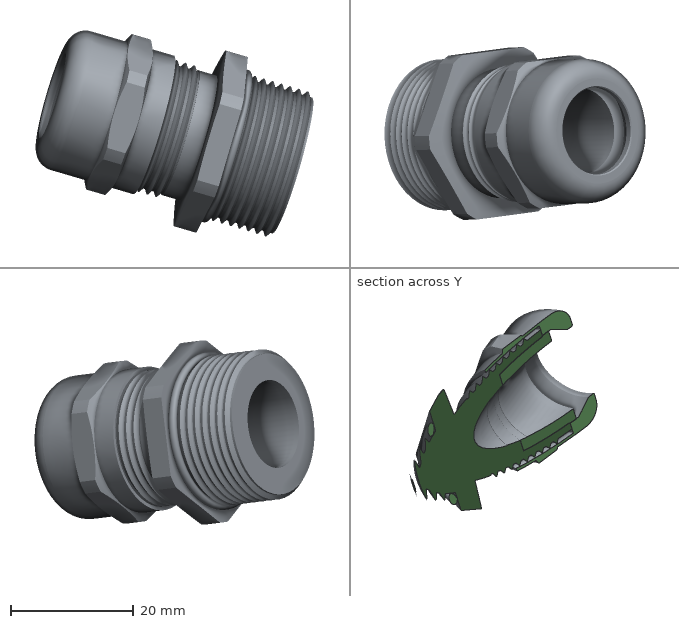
import cadquery as cq
import math


axis_azimuth = 22.0
axis_dip = 17.5
hexagon_roll = 38.0

thread_pitch = 1.5
thread_depth = 0.8
thread_flank_length = 0.5

cap_diameter = 23.6
cap_front_diameter = 17.2
cap_length = 17.35
lip_diameter = 14.25
lip_chamfer = 0.2
lip_depth = 1.25
cap_cone_end = 3.9
cap_hexagon_width = 24.0
cap_hexagon_corner_diameter = 26.45
cap_hexagon_start = 9.1
cap_hexagon_end = 13.55
cap_hexagon_chamfer_angle = 25.0

seal_front = 4.37
seal_end = 15.15
seal_diameter = 18.25
seal_bore_diameter = 14.15
seal_counterbore_start = 13.75
seal_counterbore_diameter = 14.25

body_front = 5.75
body_bore_diameter = 14.3
body_counterbore_start = 17.7
body_counterbore_diameter = 14.45
front_thread_root_diameter = 20.9
front_thread_crests = 9
front_thread_last_crest = 21.05
front_thread_end = 21.85
neck_diameter = 21.25
body_hexagon_start = 24.9
body_hexagon_length = 4.05
body_hexagon_front_slope = 5.0
body_hexagon_width = 27.0
body_hexagon_corner_diameter = 29.93
rear_thread_root_diameter = 23.15
rear_thread_crests = 7
rear_thread_last_crest = 40.15
body_end = 41.05

ring_outer_diameter = 25.95

cap_rounding = (cap_diameter - cap_front_diameter) / 2
cap_bore_diameter = front_thread_root_diameter + 2 * thread_depth
body_hexagon_end = body_hexagon_start + body_hexagon_length
front_thread_first_crest = front_thread_last_crest - (front_thread_crests - 1) * thread_pitch
rear_thread_first_crest = rear_thread_last_crest - (rear_thread_crests - 1) * thread_pitch


def placement():
    """Tilted frame of the gland: local Z runs along the gland axis, local X stays horizontal."""
    azimuth = math.radians(axis_azimuth)
    dip = math.radians(axis_dip)
    direction = (
        math.cos(dip) * math.cos(azimuth),
        math.cos(dip) * math.sin(azimuth),
        -math.sin(dip),
    )
    sideways = (-math.sin(azimuth), math.cos(azimuth), 0)
    return cq.Plane(origin=(0, 0, 0), xDir=sideways, normal=direction)


def revolved(profile):
    """Solid of revolution about local Z of a closed profile drawn in (radius, Z)."""
    return profile.close().revolve(360, (0, 0, 0), (0, 1, 0))


def cylinder(diameter, start, end):
    return cq.Workplane("XY").workplane(offset=start).circle(diameter / 2).extrude(end - start)


def hexagon(width, corner_diameter, start, end):
    """Hexagonal collar whose corners are turned down to a cylinder."""
    prism = (
        cq.Workplane("XY")
        .workplane(offset=start)
        .polygon(6, width, circumscribed=True)
        .extrude(end - start)
        .rotate((0, 0, 0), (0, 0, 1), hexagon_roll)
    )
    return prism.intersect(cylinder(corner_diameter, start, end))


def threaded_rod(root_diameter, start, end, first_crest, crests):
    """Rod with sharp ring crests one pitch apart, standing on a plain root."""
    root = root_diameter / 2
    profile = cq.Workplane("XZ").moveTo(0, start).lineTo(root, start)
    for index in range(crests):
        crest = first_crest + index * thread_pitch
        profile = profile.lineTo(root, crest - thread_flank_length)
        profile = profile.lineTo(root + thread_depth, crest)
        profile = profile.lineTo(root, crest + thread_flank_length)
    return revolved(profile.lineTo(root, end).lineTo(0, end))


def cap_shell():
    """Turned outside of the cap, with its rounded front edge."""
    radius = cap_diameter / 2
    front_radius = cap_front_diameter / 2
    arc_middle = (
        front_radius + cap_rounding * math.sin(math.pi / 4),
        cap_rounding * (1 - math.cos(math.pi / 4)),
    )
    return revolved(
        cq.Workplane("XZ")
        .moveTo(0, 0)
        .lineTo(front_radius, 0)
        .threePointArc(arc_middle, (radius, cap_rounding))
        .lineTo(radius, cap_length)
        .lineTo(0, cap_length)
    )


def cap_hexagon():
    """Cap collar, chamfered to a cone at both ends."""
    collar = hexagon(
        cap_hexagon_width, cap_hexagon_corner_diameter, cap_hexagon_start, cap_hexagon_end
    )
    inner = cap_diameter / 2
    outer = cap_hexagon_corner_diameter / 2
    chamfer_length = (outer - inner) * math.tan(math.radians(cap_hexagon_chamfer_angle))
    envelope = revolved(
        cq.Workplane("XZ")
        .moveTo(0, cap_hexagon_start)
        .lineTo(inner, cap_hexagon_start)
        .lineTo(outer, cap_hexagon_start + chamfer_length)
        .lineTo(outer, cap_hexagon_end - chamfer_length)
        .lineTo(inner, cap_hexagon_end)
        .lineTo(0, cap_hexagon_end)
    )
    return collar.intersect(envelope)


def cap_cavity():
    """Chamfered lip, cone down to the seal, and the bore over the front thread."""
    lip = lip_diameter / 2
    bore = cap_bore_diameter / 2
    return revolved(
        cq.Workplane("XZ")
        .moveTo(0, 0)
        .lineTo(lip + lip_chamfer, 0)
        .lineTo(lip, lip_chamfer)
        .lineTo(lip, lip_depth)
        .lineTo(seal_diameter / 2, cap_cone_end)
        .lineTo(seal_diameter / 2, body_front)
        .lineTo(bore, body_front)
        .lineTo(bore, cap_length)
        .lineTo(0, cap_length)
    )


def make_cap():
    return cap_shell().union(cap_hexagon()).cut(cap_cavity())


def make_seal():
    outside = cylinder(seal_diameter, seal_front, seal_end)
    bore = cylinder(seal_bore_diameter, seal_front, seal_end)
    counterbore = cylinder(seal_counterbore_diameter, seal_counterbore_start, seal_end)
    return outside.cut(bore).cut(counterbore)


def body_hexagon():
    """Body collar whose front face falls back slightly as a cone from the neck outwards."""
    neck = neck_diameter / 2
    outer = body_hexagon_corner_diameter / 2
    fall = (outer - neck) * math.tan(math.radians(body_hexagon_front_slope))
    envelope = revolved(
        cq.Workplane("XZ")
        .moveTo(0, body_hexagon_start)
        .lineTo(neck, body_hexagon_start)
        .lineTo(outer, body_hexagon_start + fall)
        .lineTo(outer, body_hexagon_end)
        .lineTo(0, body_hexagon_end)
    )
    collar = hexagon(
        body_hexagon_width, body_hexagon_corner_diameter, body_hexagon_start, body_hexagon_end
    )
    return collar.intersect(envelope)


def make_body():
    front_rod = threaded_rod(
        front_thread_root_diameter,
        body_front,
        front_thread_end,
        front_thread_first_crest,
        front_thread_crests,
    )
    rear_rod = threaded_rod(
        rear_thread_root_diameter,
        body_hexagon_end,
        body_end,
        rear_thread_first_crest,
        rear_thread_crests,
    )
    neck = cylinder(neck_diameter, front_thread_end, body_hexagon_start)
    body = front_rod.union(neck).union(body_hexagon()).union(rear_rod)
    seal_seat = cylinder(seal_diameter, body_front, seal_end)
    bore = cylinder(body_bore_diameter, seal_end, body_end)
    counterbore = cylinder(body_counterbore_diameter, body_counterbore_start, body_end)
    return body.cut(seal_seat).cut(bore).cut(counterbore)


def make_ring():
    """O-ring lying on the thread root against the rear face of the body hexagon."""
    section_radius = (ring_outer_diameter - rear_thread_root_diameter) / 4
    centre_radius = rear_thread_root_diameter / 2 + section_radius
    return (
        cq.Workplane("XZ")
        .center(centre_radius, body_hexagon_end + section_radius)
        .circle(section_radius)
        .revolve(360, (-centre_radius, 0, 0), (-centre_radius, 1, 0))
    )


gland_frame = placement()
bodies = [make_cap(), make_seal(), make_body(), make_ring()]
result = cq.Compound.makeCompound([body.val().moved(cq.Location(gland_frame)) for body in bodies])